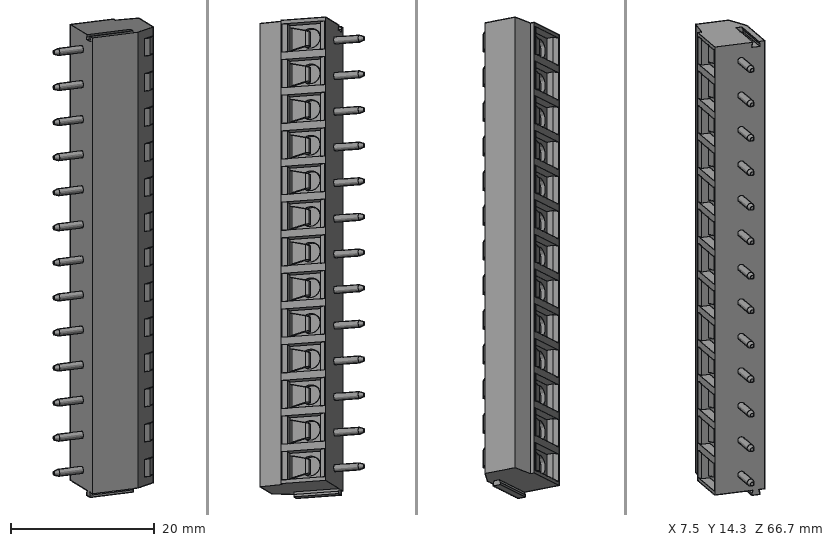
import cadquery as cq


POLES = 13
TOTAL_HEIGHT = 66.7
WIDTH = 7.5
TOTAL_DEPTH = 14.3
BODY_DEPTH = 10.0
TONGUE_HEIGHT = 0.75
BODY_HEIGHT = TOTAL_HEIGHT - TONGUE_HEIGHT
PITCH = BODY_HEIGHT / POLES

SHOULDER_Y = 6.6
LEDGE_WIDTH = 0.6
CROWN_LEFT = 1.0
CROWN_RIGHT = 5.95
SLANT_FOOT_Y = 6.95

RIB_X = 6.8
RIB_TOP_Y = 9.1
RIB_FOOT_Y = 8.3
RIB_HEIGHT = 2.55

DOVETAIL_X = 6.15
DOVETAIL_ROOT = 0.9
DOVETAIL_WIDTH = 1.2
DOVETAIL_FLARE = 0.4

POCKET_LIP = 0.2
POCKET_GAP = 1.1
POCKET_DEPTH = 1.5
LEDGE_BEVEL_WIDTH = 0.7
LEDGE_BEVEL_DEPTH = 0.3
BASE_BEVEL_WIDTH = 0.75
BASE_BEVEL_DEPTH = 0.5

HOLE_RADIUS = 1.4
HOLE_Y = 2.75
HOLE_DEPTH = 0.7
PLATE_THICKNESS = 0.35
PLATE_WIDE_Y = 5.75
PLATE_NARROW_Y = 2.95
PLATE_WIDE = 3.35
PLATE_NARROW = 2.0
PLATE_BEVEL = 0.4

PIN_X = 3.95
PIN_RADIUS = 0.5
PIN_ROOT = 0.2
PIN_TIP_RADIUS = 0.3
PIN_TIP_LENGTH = 0.7
PIN_LENGTH = TOTAL_DEPTH - BODY_DEPTH


def prism_along_z(points, bottom, height):
    """Extrude an XY outline upwards from Z = bottom."""
    return cq.Workplane("XY").workplane(offset=bottom).polyline(points).close().extrude(height)


def housing():
    outline = [
        (0, 0),
        (WIDTH, 0),
        (WIDTH, SLANT_FOOT_Y),
        (CROWN_RIGHT, BODY_DEPTH),
        (CROWN_LEFT, BODY_DEPTH),
        (LEDGE_WIDTH, SHOULDER_Y),
        (0, SHOULDER_Y),
    ]
    return prism_along_z(outline, 0, BODY_HEIGHT)


def dovetail(root_z):
    """Dovetail from the base up to the shoulder, hanging down from Z = root_z."""
    root = DOVETAIL_ROOT / 2
    wide = DOVETAIL_WIDTH / 2
    outline = [
        (DOVETAIL_X - root, root_z),
        (DOVETAIL_X - wide, root_z - DOVETAIL_FLARE),
        (DOVETAIL_X - wide, root_z - TONGUE_HEIGHT),
        (DOVETAIL_X + wide, root_z - TONGUE_HEIGHT),
        (DOVETAIL_X + wide, root_z - DOVETAIL_FLARE),
        (DOVETAIL_X + root, root_z),
    ]
    return cq.Workplane("XZ").polyline(outline).close().extrude(-SHOULDER_Y)


def rib(middle_z):
    """Small wedge standing proud of the slanted +X face."""
    outline = [
        (CROWN_RIGHT, BODY_DEPTH),
        (RIB_X, RIB_TOP_Y),
        (RIB_X, RIB_FOOT_Y),
        (CROWN_RIGHT, RIB_FOOT_Y),
    ]
    return prism_along_z(outline, middle_z - RIB_HEIGHT / 2, RIB_HEIGHT)


def pocket(middle_z):
    """Rectangular wire entry with a bevel at both Y ends."""
    height = PITCH - POCKET_GAP
    low = POCKET_LIP
    high = SHOULDER_Y - POCKET_LIP
    outline = [
        (0, low),
        (BASE_BEVEL_DEPTH, low + BASE_BEVEL_WIDTH),
        (POCKET_DEPTH, low + BASE_BEVEL_WIDTH),
        (POCKET_DEPTH, high - LEDGE_BEVEL_WIDTH),
        (LEDGE_BEVEL_DEPTH, high - LEDGE_BEVEL_WIDTH),
        (0, high),
    ]
    return prism_along_z(outline, middle_z - height / 2, height)


def wire_hole(middle_z):
    floor = cq.Workplane("YZ", origin=(POCKET_DEPTH, HOLE_Y, middle_z))
    return floor.circle(HOLE_RADIUS).extrude(HOLE_DEPTH)


def clamp_plate(middle_z):
    """Trapezoidal plate seated on the hole floor, bevelled at both Y ends."""
    wide = PLATE_WIDE / 2
    narrow = PLATE_NARROW / 2
    trapezoid = [
        (PLATE_WIDE_Y, -wide),
        (PLATE_WIDE_Y, wide),
        (PLATE_NARROW_Y, narrow),
        (PLATE_NARROW_Y, -narrow),
    ]
    top = POCKET_DEPTH - PLATE_THICKNESS
    back = POCKET_DEPTH + HOLE_DEPTH
    plate = (
        cq.Workplane("YZ", origin=(top, 0, middle_z))
        .polyline(trapezoid).close().extrude(back - top)
    )
    section = [
        (top, PLATE_WIDE_Y - PLATE_BEVEL),
        (POCKET_DEPTH, PLATE_WIDE_Y),
        (back, PLATE_WIDE_Y),
        (back, PLATE_NARROW_Y),
        (POCKET_DEPTH, PLATE_NARROW_Y),
        (top, PLATE_NARROW_Y + PLATE_BEVEL),
    ]
    return plate.intersect(prism_along_z(section, middle_z - wide, PLATE_WIDE))


def pin(middle_z):
    """Round pin with a tapered tip."""
    half_section = [
        (0, PIN_ROOT),
        (-PIN_RADIUS, PIN_ROOT),
        (-PIN_RADIUS, PIN_TIP_LENGTH - PIN_LENGTH),
        (-PIN_TIP_RADIUS, -PIN_LENGTH),
        (0, -PIN_LENGTH),
    ]
    plane = cq.Workplane("XY", origin=(PIN_X, 0, middle_z))
    return plane.polyline(half_section).close().revolve(360, (0, 0), (0, 1))


result = housing().union(dovetail(0)).cut(dovetail(BODY_HEIGHT))
for pole in range(POLES):
    pole_z = (pole + 0.5) * PITCH
    result = result.cut(pocket(pole_z)).cut(wire_hole(pole_z))
    result = result.union(clamp_plate(pole_z))
    result = result.union(rib(pole_z)).union(pin(pole_z))